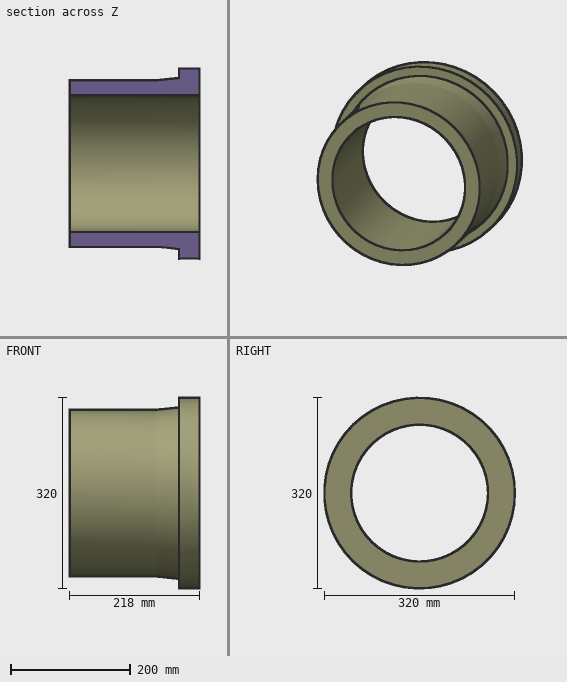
import cadquery as cq

total_length = 218.0
bore_diameter = 229.0
pipe_diameter = 280.0
neck_diameter = 288.0
collar_diameter = 320.0
collar_thickness = 35.0
neck_length = 38.5

collar_start = total_length - collar_thickness
neck_start = collar_start - neck_length

half_section = [
    (0, bore_diameter / 2),
    (0, pipe_diameter / 2),
    (neck_start, pipe_diameter / 2),
    (collar_start, neck_diameter / 2),
    (collar_start, collar_diameter / 2),
    (total_length, collar_diameter / 2),
    (total_length, bore_diameter / 2),
]

result = (
    cq.Workplane("XY")
    .polyline(half_section)
    .close()
    .revolve(360, (0, 0, 0), (1, 0, 0))
)